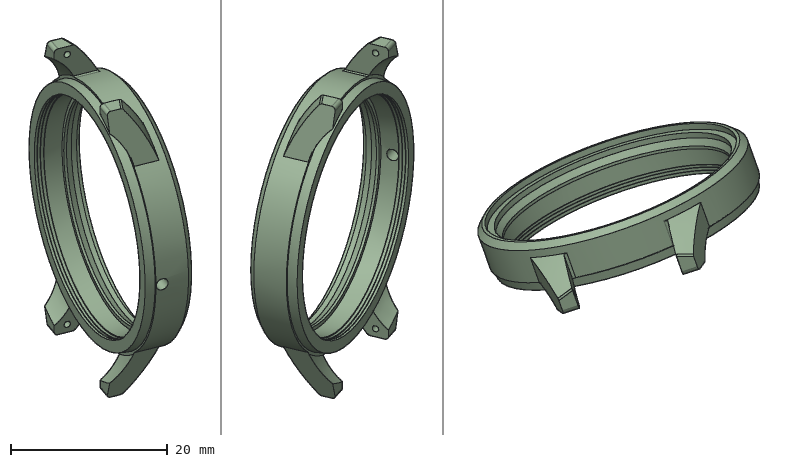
import cadquery as cq
import math


case_radius = 18.25
rear_chamfer = 0.83
band_front_depth = 5.4
ring_depth = 6.7
bezel_rear_radius = 17.95
bezel_front_radius = 17.8

front_bore_radius = 16.15
groove_radius = 16.25
groove_front_depth = 6.25
groove_rear_depth = 5.85
cavity_radius = 16.0
cavity_front_depth = 5.4
flange_radius = 15.5
flange_front_depth = 2.85
flange_rear_depth = 2.5
rear_bore_radius = 16.0
rear_bore_front_depth = 1.55
rear_bore_rear_depth = 0.83
rear_recess_radius = 16.95

lug_tip_height = 21.75
lug_tip_depth = 8.1
lug_inner_x = 7.0
lug_tip_outer_x = 9.1
lug_root_outer_x = 11.53
lug_root_height = 14.05
lug_rear_depth = 1.85
lug_embed_radius = 17.55
lug_sweep_radius = 23.92
tip_fillet = 0.52
tip_rear_chamfer = 0.17

lug_rear_mid = (21.3, 3.9)
lug_rear_end_depth = 6.3
lug_under_start_radius = 18.4
lug_under_mid = (20.23, 6.65)
lug_under_end_radius = 21.45

foot_inner_x = 6.55
foot_height = math.sqrt(case_radius**2 - foot_inner_x**2)

pin_hole_diameter = 0.85
pin_hole_length = 1.1
pin_hole_depth = 6.25
pin_hole_height = 20.55
crown_hole_diameter = 1.65
crown_hole_depth = 4.52


def revolve_about_y(profile):
    """Turn a closed (radius, -depth) profile about the Y axis."""
    return profile.revolve(360, (0, 0, 0), (0, 1, 0))


def make_ring():
    profile = (
        cq.Workplane("XY")
        .moveTo(rear_recess_radius, 0)
        .lineTo(case_radius - rear_chamfer, 0)
        .lineTo(case_radius, -rear_chamfer)
        .lineTo(case_radius, -band_front_depth)
        .lineTo(bezel_rear_radius, -band_front_depth)
        .lineTo(bezel_front_radius, -ring_depth)
        .lineTo(front_bore_radius, -ring_depth)
        .lineTo(front_bore_radius, -groove_front_depth)
        .lineTo(groove_radius, -groove_front_depth)
        .lineTo(groove_radius, -groove_rear_depth)
        .lineTo(front_bore_radius, -groove_rear_depth)
        .lineTo(front_bore_radius, -cavity_front_depth)
        .lineTo(cavity_radius, -cavity_front_depth)
        .lineTo(cavity_radius, -flange_front_depth)
        .lineTo(flange_radius, -flange_front_depth)
        .lineTo(flange_radius, -flange_rear_depth)
        .lineTo(rear_bore_radius, -rear_bore_front_depth)
        .lineTo(rear_bore_radius, -rear_bore_rear_depth)
        .lineTo(rear_recess_radius, -rear_bore_rear_depth)
        .close()
    )
    return revolve_about_y(profile)


def make_lug():
    """One lug at +X, +Z: its tapered outline cut from a curved ring."""
    sweep = revolve_about_y(
        cq.Workplane("XY")
        .moveTo(lug_embed_radius, -lug_rear_depth)
        .lineTo(case_radius, -lug_rear_depth)
        .threePointArc((lug_rear_mid[0], -lug_rear_mid[1]), (lug_sweep_radius, -lug_rear_end_depth))
        .lineTo(lug_sweep_radius, -lug_tip_depth)
        .lineTo(lug_under_end_radius, -lug_tip_depth)
        .threePointArc(
            (lug_under_mid[0], -lug_under_mid[1]),
            (lug_under_start_radius, -band_front_depth),
        )
        .lineTo(lug_embed_radius, -band_front_depth)
        .close()
    )
    outline = (
        cq.Workplane("XZ")
        .moveTo(lug_root_outer_x, lug_root_height)
        .lineTo(lug_tip_outer_x, lug_tip_height)
        .lineTo(lug_inner_x, lug_tip_height)
        .lineTo(lug_inner_x, foot_height)
        .lineTo(foot_inner_x, foot_height)
        .lineTo(foot_inner_x, lug_root_height)
        .close()
        .extrude(lug_tip_depth)
    )
    lug = outline.intersect(sweep)
    lug = lug.edges("|X").edges(">Z").edges("<Y").fillet(tip_fillet)
    lug = lug.faces(">Z").edges(">Y").chamfer(tip_rear_chamfer)
    pin_hole = (
        cq.Workplane("YZ", origin=(lug_inner_x, -pin_hole_depth, pin_hole_height))
        .circle(pin_hole_diameter / 2)
        .extrude(pin_hole_length)
    )
    return lug.cut(pin_hole)


def make_crown_hole():
    return (
        cq.Workplane("YZ", origin=(0, -crown_hole_depth, 0))
        .circle(crown_hole_diameter / 2)
        .extrude(case_radius)
    )


ring = make_ring().rotate((0, 0, 0), (0, 1, 0), 180)
upper_right = make_lug()
right_lugs = upper_right.union(upper_right.mirror("XY"))
lugs = right_lugs.union(right_lugs.mirror("YZ"))
result = ring.union(lugs).cut(make_crown_hole())